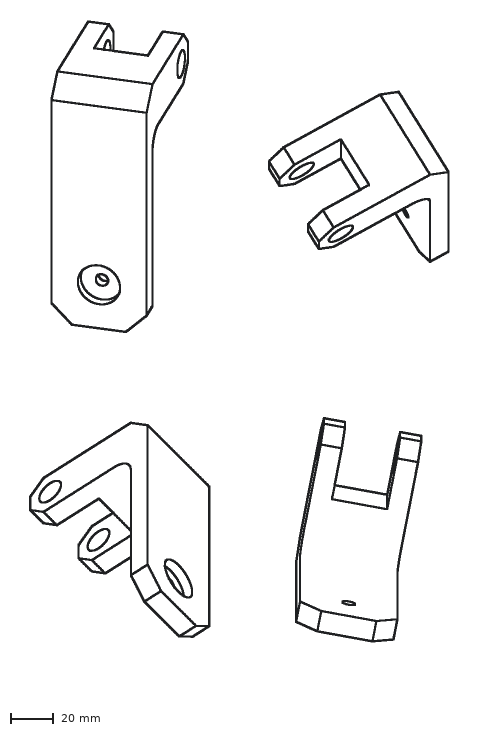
import cadquery as cq

width = 46.2
depth = 70.1
height = 127.0

plate_thickness = 10.0
arm_height = 26.0
corner_chamfer = 10.0
inner_radius = 10.0
arm_end_chamfer = 8.0

tine_thickness = 10.0
slot_depth = 33.0
pivot_diameter = 13.0
pivot_end_distance = 12.0
pivot_top_distance = 13.7

foot_chamfer = 10.0
bolt_height = 23.0
bolt_diameter = 6.0
counterbore_diameter = 20.5
counterbore_depth = 5.0


def bracket_body():
    """L-shaped side profile, extruded across the full width."""
    arm_bottom = height - arm_height
    profile = (
        cq.Workplane("YZ")
        .moveTo(0, 0)
        .lineTo(0, height - corner_chamfer)
        .lineTo(corner_chamfer, height)
        .lineTo(depth - arm_end_chamfer, height)
        .lineTo(depth, height - arm_end_chamfer)
        .lineTo(depth, arm_bottom + arm_end_chamfer)
        .lineTo(depth - arm_end_chamfer, arm_bottom)
        .lineTo(plate_thickness + inner_radius, arm_bottom)
        .radiusArc((plate_thickness, arm_bottom - inner_radius), -inner_radius)
        .lineTo(plate_thickness, 0)
        .close()
    )
    return profile.extrude(width / 2, both=True)


def fork_slot():
    """Open slot that splits the end of the arm into two tines."""
    return cq.Workplane("XY").box(
        width - 2 * tine_thickness, slot_depth, arm_height, centered=(True, False, False)
    ).translate((0, depth - slot_depth, height - arm_height))


def pivot_hole():
    """Cross hole through both tines."""
    return (
        cq.Workplane("YZ")
        .center(depth - pivot_end_distance, height - pivot_top_distance)
        .circle(pivot_diameter / 2)
        .extrude(width / 2, both=True)
    )


def bolt_cylinder(diameter, length):
    """Cylinder on the bolt axis, running inward from the plate's outer face."""
    return (
        cq.Workplane("XZ")
        .center(0, bolt_height)
        .circle(diameter / 2)
        .extrude(-length)
    )


body = bracket_body()
body = body.faces("<Z").edges("|Y").chamfer(foot_chamfer)
result = (
    body.cut(fork_slot())
    .cut(pivot_hole())
    .cut(bolt_cylinder(bolt_diameter, plate_thickness))
    .cut(bolt_cylinder(counterbore_diameter, counterbore_depth))
)